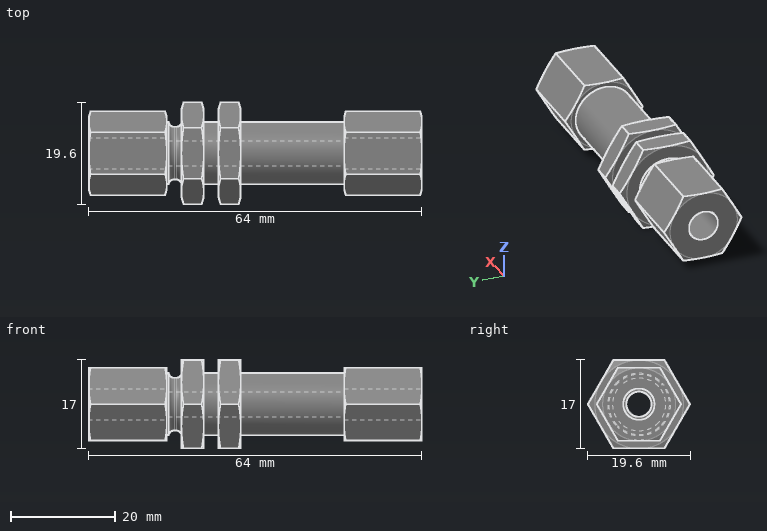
import cadquery as cq
import math

length = 64.0
body_diameter = 12.0
bore_diameter = 4.8
tube_socket_diameter = 6.0

end_nut_flats = 14.0
end_nut_length = 15.0

bulkhead_flats = 17.0
bulkhead_width = 4.3
collar_start = 17.8
lock_nut_start = 24.9

undercut_diameter = 10.2
undercut_radius = 1.1
floor_start = 16.4
floor_end = 16.8

chamfer_angle = math.radians(17)


def along_x(start):
    """Sketch plane across the X axis, its local x along Y."""
    return cq.Workplane("YZ", origin=(start, 0, 0))


def cylinder(diameter, start, depth):
    return along_x(start).circle(diameter / 2).extrude(depth)


def hexagon(flats, start, width):
    """Hexagon with corners on Y and both ends chamfered down to the flats."""
    corner_diameter = flats / math.cos(math.pi / 6)
    corner_radius = corner_diameter / 2
    face_radius = flats / 2
    chamfer = (corner_radius - face_radius) * math.tan(chamfer_angle)
    end = start + width
    prism = along_x(start).polygon(6, corner_diameter).extrude(width)
    envelope = (
        cq.Workplane("XY")
        .moveTo(start, 0)
        .lineTo(start, face_radius)
        .lineTo(start + chamfer, corner_radius)
        .lineTo(end - chamfer, corner_radius)
        .lineTo(end, face_radius)
        .lineTo(end, 0)
        .close()
        .revolve(360, (0, 0, 0), (1, 0, 0))
    )
    return prism.intersect(envelope)


def undercut():
    """Ring to remove from the body; its right fillet is cut short by the collar."""
    outer = body_diameter / 2
    inner = undercut_diameter / 2
    rise = outer - inner
    fillet_run = math.sqrt(undercut_radius**2 - (undercut_radius - rise) ** 2)
    return (
        cq.Workplane("XY")
        .moveTo(floor_start - fillet_run, outer)
        .radiusArc((floor_start, inner), -undercut_radius)
        .lineTo(floor_end, inner)
        .radiusArc((floor_end + fillet_run, outer), -undercut_radius)
        .close()
        .revolve(360, (0, 0, 0), (1, 0, 0))
    )


result = cylinder(body_diameter, 0, length).cut(undercut())

for start in (collar_start, lock_nut_start):
    result = result.union(hexagon(bulkhead_flats, start, bulkhead_width))

right_nut_start = length - end_nut_length
for start in (0, right_nut_start):
    result = result.union(hexagon(end_nut_flats, start, end_nut_length))
    result = result.cut(cylinder(tube_socket_diameter, start, end_nut_length))

result = result.cut(cylinder(bore_diameter, 0, length))